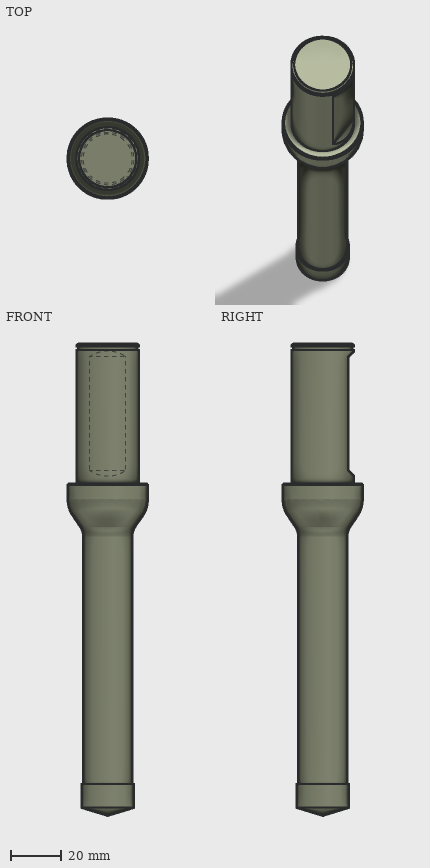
import cadquery as cq
import math

TOTAL_LENGTH = 188.0

TIP_DIAMETER = 20.9
TIP_CONE_HEIGHT = 3.2
TIP_TOP = 12.6

BODY_DIAMETER = 19.5
TAPER_ANGLE = math.radians(30)
TAPER_BOTTOM = 114.9
BLEND_RADIUS = 7.5

COLLAR_DIAMETER = 32.0
COLLAR_BOTTOM = 126.0
COLLAR_TOP = 132.2
COLLAR_CHAMFER = 0.5

SHANK_DIAMETER = 25.0
END_CHAMFER_WIDTH = 1.1
END_CHAMFER_HEIGHT = 0.8
GROOVE_DEPTH = 0.5
GROOVE_BOTTOM = 185.4
GROOVE_TOP = 186.7

FLAT_DEPTH = 2.3
FLAT_BOTTOM = 137.5
FLAT_TOP = 182.7

tip_radius = TIP_DIAMETER / 2
body_radius = BODY_DIAMETER / 2
collar_radius = COLLAR_DIAMETER / 2
shank_radius = SHANK_DIAMETER / 2


def blend_offset(angle):
    """Radial and axial distance covered by a blend that turns through angle."""
    return BLEND_RADIUS * (1 - math.cos(angle)), BLEND_RADIUS * math.sin(angle)


def make_tip():
    """Replaceable drill tip: a short cylinder with a shallow point."""
    return (
        cq.Workplane("XZ")
        .polyline([(0, 0), (tip_radius, TIP_CONE_HEIGHT), (tip_radius, TIP_TOP), (0, TIP_TOP)])
        .close()
        .revolve(360, (0, 0), (0, 1))
    )


def make_holder_blank():
    """Turned body, tapered collar and shank, all about the tool axis."""
    blend_dr, blend_dz = blend_offset(TAPER_ANGLE)
    half_dr, half_dz = blend_offset(TAPER_ANGLE / 2)
    taper_bottom_radius = body_radius + blend_dr
    body_top = TAPER_BOTTOM - blend_dz
    taper = [(taper_bottom_radius, TAPER_BOTTOM), (collar_radius, COLLAR_BOTTOM)]
    upward_slope = (math.sin(TAPER_ANGLE), math.cos(TAPER_ANGLE))
    return (
        cq.Workplane("XZ")
        .moveTo(0, TIP_TOP)
        .lineTo(body_radius, TIP_TOP)
        .lineTo(body_radius, body_top)
        .threePointArc((body_radius + half_dr, body_top + half_dz), taper[0])
        .spline(taper, tangents=[upward_slope, (0, 1)])
        .lineTo(collar_radius, COLLAR_TOP - COLLAR_CHAMFER)
        .lineTo(collar_radius - COLLAR_CHAMFER, COLLAR_TOP)
        .lineTo(shank_radius, COLLAR_TOP)
        .lineTo(shank_radius, TOTAL_LENGTH - END_CHAMFER_HEIGHT)
        .lineTo(shank_radius - END_CHAMFER_WIDTH, TOTAL_LENGTH)
        .lineTo(0, TOTAL_LENGTH)
        .close()
        .revolve(360, (0, 0), (0, 1))
    )


def make_groove():
    """Shallow rectangular ring cut round the shank just below its end."""
    groove_width = GROOVE_TOP - GROOVE_BOTTOM
    return (
        cq.Workplane("XY", origin=(0, 0, GROOVE_BOTTOM))
        .circle(collar_radius)
        .circle(shank_radius - GROOVE_DEPTH)
        .extrude(groove_width)
    )


def make_flat_cutter():
    """Trapezoidal cutter that leaves the clamping flat and its sloped ends."""
    flat_y = shank_radius - FLAT_DEPTH
    return (
        cq.Workplane("YZ")
        .polyline([
            (flat_y, FLAT_BOTTOM),
            (shank_radius, FLAT_BOTTOM - FLAT_DEPTH),
            (shank_radius, FLAT_TOP + FLAT_DEPTH),
            (flat_y, FLAT_TOP),
        ])
        .close()
        .extrude(shank_radius, both=True)
    )


tip = make_tip()
holder = make_holder_blank().cut(make_groove()).cut(make_flat_cutter())

result = cq.Compound.makeCompound([tip.val(), *holder.solids().vals()])